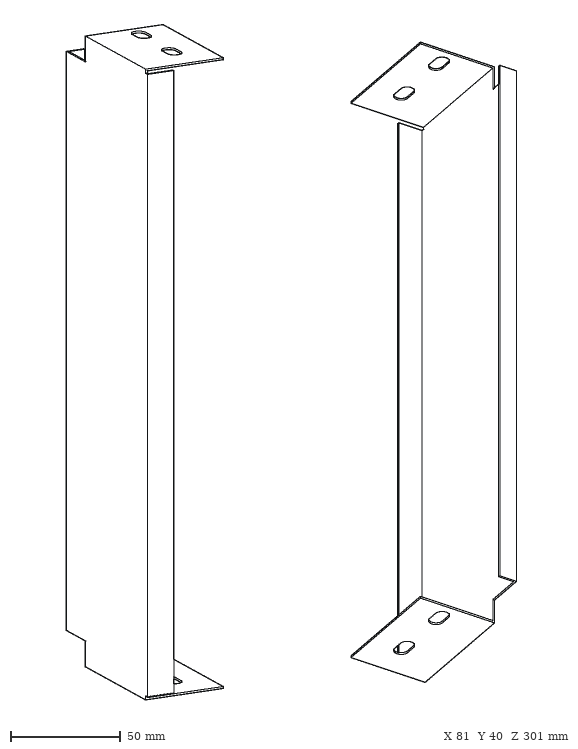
import cadquery as cq

width = 81.0
depth = 40.0
height = 301
sheet = 1.0

left_notch_width = 19.0
left_notch_height = 12.3
right_notch = 2 * sheet

left_lip_depth = 9
right_lip_depth = 13.5

slot_length = 12
slot_width = 7.0
slot_spacing = 30
first_slot_x = 29.0
slot_y = 23.8

flange_width = width - left_notch_width - right_notch
left_lip_height = height - 2 * left_notch_height
right_lip_height = height - 2 * right_notch


def block(size_x, size_y, size_z, x, z):
    """Box starting at the outer face of the panel, with its low corner at x and z."""
    return cq.Workplane("XY").box(size_x, size_y, size_z, centered=False).translate((x, 0, z))


panel = block(flange_width, sheet, height, left_notch_width, 0)
panel = panel.union(block(width / 2, sheet, left_lip_height, 0, left_notch_height))
panel = panel.union(block(width / 2, sheet, right_lip_height, width / 2, right_notch))

left_lip = block(sheet, left_lip_depth, left_lip_height, 0, left_notch_height)
right_lip = block(sheet, right_lip_depth, right_lip_height, width - sheet, right_notch)
result = panel.union(left_lip).union(right_lip)

for flange_z in (0, height - sheet):
    result = result.union(block(flange_width, depth, sheet, left_notch_width, flange_z))

slot_centers = [(first_slot_x, slot_y), (first_slot_x + slot_spacing, slot_y)]
slots = cq.Workplane("XY").pushPoints(slot_centers).slot2D(slot_length, slot_width).extrude(height)
result = result.cut(slots)